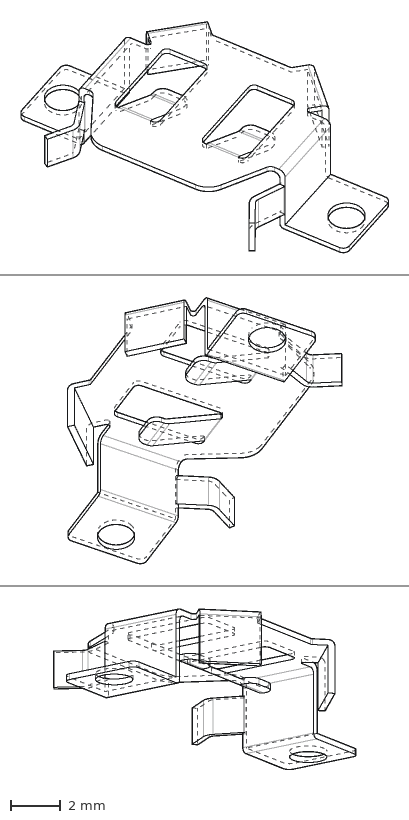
import cadquery as cq
import math

LENGTH = 15.4
HEIGHT = 3.15
SHEET = 0.25
HALF_LENGTH = LENGTH / 2
PLATE_UNDERSIDE = HEIGHT - SHEET

LEG_WIDTH = 3.51
LEG_OUTER_X = 4.85
LEG_INNER_X = LEG_OUTER_X - SHEET
SHOULDER_OUTER_RADIUS = 0.3
SHOULDER_INNER_RADIUS = 0.25
HEEL_RADIUS = 0.2
LEG_ROOT_X = LEG_INNER_X - SHOULDER_INNER_RADIUS
FOOT_CORNER_RADIUS = 0.3
FOOT_HOLE_DIAMETER = 1.5
FOOT_HOLE_X = 6.67

PLATE_BACK_Y = 3.62
PLATE_FRONT_Y = -4.28
WAIST_X = 4.17
WAIST_ANGLE = 61.0
WAIST_RADIUS = 0.3
FRONT_CORNER_RADIUS = 1.0
NOTCH_RADIUS = 0.12
BACK_CORNER_RADIUS = 0.12

TAB_ANGLE = 45.0
TAB_WIDTH = 2.5
TAB_DISTANCE = 4.84
TAB_THICKNESS = 0.3
TAB_DEPTH = 2.25
TAB_BEND_RADIUS = 0.28

WINDOW_X = 2.05
WINDOW_WIDTH = 2.1
WINDOW_LENGTH = 4.0
WINDOW_RADIUS = 0.25
TONGUE_X = 2.06
TONGUE_WIDTH = 1.5
TONGUE_ANGLE = 27.5
TONGUE_DROP = 1.26
TONGUE_TIP_Y = 1.11
TONGUE_TIP_RADIUS = 0.43
TONGUE_ROOT_BEND = 0.06
TONGUE_TIP_BEND = 0.31

SPRING_BOTTOM = 0.83
SPRING_HEIGHT = 1.52
SPRING_START_Y = -1.68
SPRING_START_HEADING = -90.0
SPRING_IN_ANGLE = 23.0
SPRING_OUT_ANGLE = 31.0
SPRING_ROOT_BEND = 0.1
SPRING_TIP_BEND = 0.31
SPRING_IN_LENGTH = 1.25
SPRING_OUT_LENGTH = 1.15


def bent_strip(plane, start, heading, moves, width):
    """Extrude a strip of sheet whose centre line follows straight runs and bends.

    A move is (length, 0) for a straight run, or (inner radius, turn) for a bend;
    angles are in degrees and a positive turn goes left.
    """
    x, y = start
    stations = [(x, y, heading)]
    bends = []

    def advance(distance, direction):
        nonlocal x, y
        x += distance * math.cos(math.radians(direction))
        y += distance * math.sin(math.radians(direction))
        stations.append((x, y, heading))

    for size, turn in moves:
        bends.append(turn != 0)
        if turn == 0:
            advance(size, heading)
            continue
        half_turn = turn / 2
        half_chord = 2 * (size + SHEET / 2) * math.sin(math.radians(abs(half_turn) / 2))
        for _ in range(2):
            direction = heading + half_turn / 2
            heading += half_turn
            advance(half_chord, direction)

    def face(side):
        shift = side * SHEET / 2
        return [
            (px - shift * math.sin(math.radians(a)), py + shift * math.cos(math.radians(a)))
            for px, py, a in stations
        ]

    def trace(profile, points, bend_order):
        index = 0
        for is_bend in bend_order:
            if is_bend:
                profile = profile.threePointArc(points[index + 1], points[index + 2])
                index += 2
            else:
                profile = profile.lineTo(*points[index + 1])
                index += 1
        return profile

    left = face(1)
    right = face(-1)[::-1]
    profile = trace(cq.Workplane(plane).moveTo(*left[0]), left, bends)
    profile = trace(profile.lineTo(*right[0]), right, bends[::-1])
    return profile.close().extrude(width)


def tab_point(along, outward):
    """Plan position at a distance along the tab and outward on its ray."""
    angle = math.radians(TAB_ANGLE)
    return (
        along * math.cos(angle) - outward * math.sin(angle),
        along * math.sin(angle) + outward * math.cos(angle),
    )


def round_corner(body, point, radius):
    """Round the upright edge of the plate that stands at a plan position."""
    middle = (point[0], point[1], HEIGHT - SHEET / 2)
    return body.edges(cq.selectors.NearestToPointSelector(middle)).fillet(radius)


def half_plate():
    """Left half of the top plate, with its window."""
    half_leg = LEG_WIDTH / 2
    tab_back = tab_point(TAB_WIDTH / 2, TAB_DISTANCE - TAB_THICKNESS)
    tab_front = tab_point(-TAB_WIDTH / 2, TAB_DISTANCE - TAB_THICKNESS)
    tab_slope = math.tan(math.radians(TAB_ANGLE))
    back_corner = (tab_back[0] + (tab_back[1] - PLATE_BACK_Y) / tab_slope, PLATE_BACK_Y)
    notch = (tab_front[0] + (tab_front[1] - half_leg) / tab_slope, half_leg)
    waist = (-WAIST_X, -half_leg)
    waist_run = (-half_leg - PLATE_FRONT_Y) / math.tan(math.radians(WAIST_ANGLE))
    front_corner = (waist[0] + waist_run, PLATE_FRONT_Y)
    outline = [
        (0, PLATE_BACK_Y),
        back_corner,
        tab_back,
        tab_front,
        notch,
        (-LEG_ROOT_X, half_leg),
        (-LEG_ROOT_X, -half_leg),
        waist,
        front_corner,
        (0, PLATE_FRONT_Y),
    ]
    sketch_plane = cq.Workplane("XY", origin=(0, 0, PLATE_UNDERSIDE))
    plate = sketch_plane.polyline(outline).close().extrude(SHEET)
    plate = round_corner(plate, back_corner, BACK_CORNER_RADIUS)
    plate = round_corner(plate, notch, NOTCH_RADIUS)
    plate = round_corner(plate, waist, WAIST_RADIUS)
    plate = round_corner(plate, front_corner, FRONT_CORNER_RADIUS)
    window = (
        sketch_plane.center(-WINDOW_X, 0)
        .rect(WINDOW_WIDTH, WINDOW_LENGTH)
        .extrude(SHEET)
        .edges("|Z")
        .fillet(WINDOW_RADIUS)
    )
    return plate.cut(window)


def arc_middle(centre, radius, x_side, y_side):
    """Middle point of a quarter arc on the given side of its centre."""
    reach = radius * math.sqrt(0.5)
    return (centre[0] + x_side * reach, centre[1] + y_side * reach)


def leg():
    """Left leg: shoulder bend, wall, heel bend and a foot with its hole."""
    outer = (-LEG_OUTER_X + SHOULDER_OUTER_RADIUS, HEIGHT - SHOULDER_OUTER_RADIUS)
    inner = (-LEG_ROOT_X, PLATE_UNDERSIDE - SHOULDER_INNER_RADIUS)
    heel = (-LEG_INNER_X - HEEL_RADIUS, HEEL_RADIUS)
    body = (
        cq.Workplane("XZ", origin=(0, LEG_WIDTH / 2, 0))
        .moveTo(-HALF_LENGTH, 0)
        .lineTo(heel[0], 0)
        .threePointArc(arc_middle(heel, HEEL_RADIUS, 1, -1), (-LEG_INNER_X, heel[1]))
        .lineTo(-LEG_INNER_X, inner[1])
        .threePointArc(arc_middle(inner, SHOULDER_INNER_RADIUS, -1, 1), (inner[0], PLATE_UNDERSIDE))
        .lineTo(-LEG_ROOT_X, HEIGHT)
        .lineTo(outer[0], HEIGHT)
        .threePointArc(arc_middle(outer, SHOULDER_OUTER_RADIUS, -1, 1), (-LEG_OUTER_X, outer[1]))
        .lineTo(-LEG_OUTER_X, SHEET)
        .lineTo(-HALF_LENGTH, SHEET)
        .close()
        .extrude(LEG_WIDTH)
    )
    body = body.faces("<X").edges("|Z").fillet(FOOT_CORNER_RADIUS)
    hole = cq.Workplane("XY").center(-FOOT_HOLE_X, 0).circle(FOOT_HOLE_DIAMETER / 2).extrude(SHEET)
    return body.cut(hole)


def stop_tab():
    """Left stop tab, built square to Y and then turned into place."""
    return (
        cq.Workplane("XY")
        .box(TAB_WIDTH, TAB_THICKNESS, TAB_DEPTH)
        .edges(">Y and >Z")
        .fillet(TAB_BEND_RADIUS)
        .translate((0, TAB_DISTANCE - TAB_THICKNESS / 2, HEIGHT - TAB_DEPTH / 2))
        .rotate((0, 0, 0), (0, 0, 1), TAB_ANGLE)
    )


def tongue():
    """Left contact tongue: slopes down from the window edge to a flat rounded tip."""
    angle = math.radians(TONGUE_ANGLE)
    bend_radii = TONGUE_ROOT_BEND + TONGUE_TIP_BEND + SHEET
    slope_length = (TONGUE_DROP - bend_radii * (1 - math.cos(angle))) / math.sin(angle)
    slope_run = bend_radii * math.sin(angle) + slope_length * math.cos(angle)
    window_front_y = -WINDOW_LENGTH / 2
    root_overlap = SHEET
    moves = [
        (root_overlap, 0),
        (TONGUE_ROOT_BEND, -TONGUE_ANGLE),
        (slope_length, 0),
        (TONGUE_TIP_BEND, TONGUE_ANGLE),
        (TONGUE_TIP_Y - window_front_y - slope_run, 0),
    ]
    start = (window_front_y - root_overlap, HEIGHT - SHEET / 2)
    strip = bent_strip("YZ", start, 0, moves, TONGUE_WIDTH)
    strip = strip.faces(">Y").edges("|Z").fillet(TONGUE_TIP_RADIUS)
    return strip.translate((-TONGUE_X - TONGUE_WIDTH / 2, 0, 0))


def side_spring():
    """Left spring: leans in toward the plate, then flares out again."""
    moves = [
        (SPRING_ROOT_BEND, SPRING_IN_ANGLE),
        (SPRING_IN_LENGTH, 0),
        (SPRING_TIP_BEND, -SPRING_IN_ANGLE - SPRING_OUT_ANGLE),
        (SPRING_OUT_LENGTH, 0),
    ]
    start = (-LEG_OUTER_X + SHEET / 2, SPRING_START_Y)
    strip = bent_strip("XY", start, SPRING_START_HEADING, moves, SPRING_HEIGHT)
    return strip.translate((0, 0, SPRING_BOTTOM))


half = half_plate()
for feature in (leg(), stop_tab(), tongue(), side_spring()):
    half = half.union(feature)

result = half.union(half.mirror("YZ"))